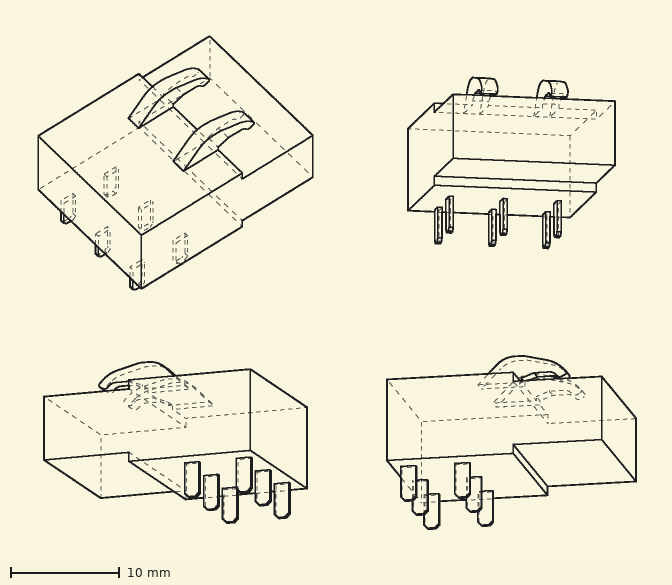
import math

import cadquery as cq


width = 15.25
total_length = 20.25
nose_length = 8.35
block_length = total_length - nose_length
block_height = 7.74
step_height = 0.85
nose_height = block_height - 2 * step_height

hook_width = 1.52
hook_spacing = 6.6
hook_height = 2.51
back_angle = math.radians(45)
back_radius = 2.35
crest_rear_y = -0.6
crest_front_y = 0.15
crest_radius = 0.69
arm_angle = math.radians(13.5)
arm_end_y = 2.43
shoulder_radius = 3.04
nose_slope = math.radians(45)
tip_start_y = 4.17
underside_height = 0.83
underside_rear_y = 1.22
underside_front_y = 2.7
throat_height = 0.38

tip_end = (4.11, 0.49)
bead_start = (3.8, 0.35)
bead_end = (3.42, 0.38)
hollow_start = (3.2, 0.6)

pin_thickness = 0.4
pin_width = 1.4
pin_length = 3.25
pin_tip_chamfer = 0.35
pin_pitch = 5.08
pin_columns = 3
pin_rows = 2
rear_row_inset = 1.52


def make_hook(centre_x):
    """Hook profile in the YZ plane, starting flat on the block and extruded across its width."""
    back_top_y = crest_rear_y - back_radius * math.sin(back_angle)
    back_top_z = hook_height - back_radius * (1 - math.cos(back_angle))
    back_foot_y = back_top_y - back_top_z / math.tan(back_angle)
    arm_start_y = crest_front_y + crest_radius * math.sin(arm_angle)
    arm_start_z = hook_height - crest_radius * (1 - math.cos(arm_angle))
    arm_end_z = arm_start_z - (arm_end_y - arm_start_y) * math.tan(arm_angle)
    shoulder_end_y = arm_end_y + shoulder_radius * (math.sin(nose_slope) - math.sin(arm_angle))
    shoulder_end_z = arm_end_z - shoulder_radius * (math.cos(arm_angle) - math.cos(nose_slope))
    tip_start_z = shoulder_end_z - (tip_start_y - shoulder_end_y) * math.tan(nose_slope)

    profile = (
        cq.Workplane("YZ")
        .moveTo(0, 0)
        .lineTo(back_foot_y, 0)
        .lineTo(back_top_y, back_top_z)
        .tangentArcPoint((crest_rear_y, hook_height), relative=False)
        .lineTo(crest_front_y, hook_height)
        .tangentArcPoint((arm_start_y, arm_start_z), relative=False)
        .lineTo(arm_end_y, arm_end_z)
        .tangentArcPoint((shoulder_end_y, shoulder_end_z), relative=False)
        .lineTo(tip_start_y, tip_start_z)
        .tangentArcPoint(tip_end, relative=False)
        .lineTo(*bead_start)
        .tangentArcPoint(bead_end, relative=False)
        .lineTo(*hollow_start)
        .tangentArcPoint((underside_front_y, underside_height), relative=False)
        .lineTo(underside_rear_y, underside_height)
        .lineTo(0, throat_height)
        .close()
    )
    hook = profile.extrude(hook_width / 2, both=True)
    return hook.translate((centre_x, 0, block_height))


def make_housing():
    block = cq.Workplane("XY").box(width, block_length, block_height, centered=(True, False, False))
    block = block.translate((0, -block_length, 0))
    nose = cq.Workplane("XY").box(width, nose_length, nose_height, centered=(True, False, False))
    housing = block.union(nose.translate((0, 0, step_height)))
    for side in (-1, 1):
        housing = housing.union(make_hook(side * hook_spacing / 2))
    return housing


def make_pin(x, y):
    """Blade hanging from the underside of the block, with its tip chamfered on two edges."""
    pin = cq.Workplane("XY").box(pin_thickness, pin_width, pin_length)
    pin = pin.faces("<Z").edges("|X").chamfer(pin_tip_chamfer)
    return pin.translate((x, y, -pin_length / 2))


housing = make_housing()

pins = []
for row in range(pin_rows):
    for column in range(pin_columns):
        pin_x = (column - (pin_columns - 1) / 2) * pin_pitch
        pin_y = -block_length + rear_row_inset + row * pin_pitch
        pins.append(make_pin(pin_x, pin_y))

result = cq.Compound.makeCompound([housing.val(), *[pin.val() for pin in pins]])